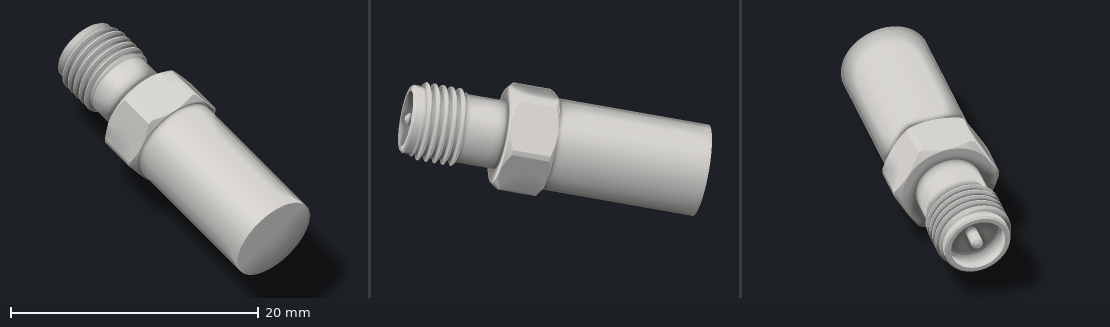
import cadquery as cq
import math

total_length = 24.65
rim_x = 0.07
thread_start_x = 0.85
thread_end_x = 4.68
hex_front_x = 7.88
hex_length = 4.0

neck_radius = 5.6 / 2
rim_radius = 5.27 / 2
thread_radius = 6.35 / 2
helix_length = 4.93
thread_root_width = 0.47
thread_crest_width = 0.1
thread_root_overlap = 0.07
envelope_clearance = 0.02
helix_start_x = 0.07
helix_turns = 7
thread_pitch = helix_length / helix_turns

socket_radius = 4.58 / 2
socket_floor_radius = 4.2 / 2
socket_depth = 1.87
floor_chamfer_length = 0.07

hex_across_flats = 7.93
hex_corner_radius = 8.92 / 2
hex_front_face_radius = 3.92
hex_rear_face_radius = 3.97
hex_front_chamfer = 0.5
hex_rear_chamfer = 0.37
barrel_radius = 7.5 / 2

pin_radius = 0.94 / 2
pin_tip_radius = 0.2
pin_tip_length = 0.22
shank_radius = 1.18 / 2
shank_length = 0.99

socket_floor_x = rim_x + socket_depth
hex_rear_x = hex_front_x + hex_length
shank_end_x = socket_floor_x + shank_length


def turned(profile):
    """Revolve a closed (x, radius) outline about the X axis."""
    return cq.Workplane("XY").polyline(profile).close().revolve(360, (0, 0, 0), (1, 0, 0))


def make_thread():
    """Right-handed helical ridge, tapered at 45 degrees at both ends."""
    inner_radius = neck_radius - thread_root_overlap
    half_root = thread_root_width / 2
    half_crest = thread_crest_width / 2
    flank_slope = (half_root - half_crest) / (thread_radius - neck_radius)
    half_base = half_root + flank_slope * thread_root_overlap
    helix = cq.Wire.makeHelix(thread_pitch, helix_length, neck_radius)
    ridge = (
        cq.Workplane("XZ")
        .polyline([
            (inner_radius, -half_base),
            (thread_radius, -half_crest),
            (thread_radius, half_crest),
            (inner_radius, half_base),
        ])
        .close()
        .sweep(cq.Workplane(obj=helix), isFrenet=True)
        .rotate((0, 0, 0), (0, 1, 0), 90)
        .translate((helix_start_x, 0, 0))
    )
    taper = thread_radius + envelope_clearance - neck_radius
    envelope = turned([
        (thread_start_x, socket_radius),
        (thread_start_x, neck_radius),
        (thread_start_x + taper, neck_radius + taper),
        (thread_end_x - taper, neck_radius + taper),
        (thread_end_x, neck_radius),
        (thread_end_x, socket_radius),
    ])
    return ridge.intersect(envelope)


def make_hexagon():
    """Hexagon with flats up and down, its corners rounded and chamfered."""
    across_corners = hex_across_flats / math.cos(math.pi / 6)
    prism = cq.Workplane("YZ", origin=(hex_front_x, 0, 0)).polygon(6, across_corners).extrude(hex_length)
    corner_limit = turned([
        (hex_front_x, 0),
        (hex_front_x, hex_front_face_radius),
        (hex_front_x + hex_front_chamfer, hex_corner_radius),
        (hex_rear_x - hex_rear_chamfer, hex_corner_radius),
        (hex_rear_x, hex_rear_face_radius),
        (hex_rear_x, 0),
    ])
    return prism.intersect(corner_limit)


def make_socket():
    """Front bore with a conical floor edge, continued by the hole for the pin shank."""
    return turned([
        (rim_x, 0),
        (rim_x, socket_radius),
        (socket_floor_x - floor_chamfer_length, socket_radius),
        (socket_floor_x, socket_floor_radius),
        (socket_floor_x, shank_radius),
        (shank_end_x, shank_radius),
        (shank_end_x, 0),
    ])


def make_housing():
    """Neck with thread, hexagon and barrel as one body."""
    rim_chamfer = neck_radius - rim_radius
    core = turned([
        (rim_x, 0),
        (rim_x, rim_radius),
        (rim_x + rim_chamfer, neck_radius),
        (hex_front_x, neck_radius),
        (hex_front_x, barrel_radius),
        (total_length, barrel_radius),
        (total_length, 0),
    ])
    return core.union(make_hexagon()).union(make_thread()).cut(make_socket())


def make_pin():
    """Contact pin with a conical tip; its wider shank ends flush with the socket floor."""
    return turned([
        (0, 0),
        (0, pin_tip_radius),
        (pin_tip_length, pin_radius),
        (socket_floor_x, pin_radius),
        (socket_floor_x, shank_radius),
        (shank_end_x, shank_radius),
        (shank_end_x, 0),
    ])


housing = make_housing()
pin = make_pin()

result = cq.Compound.makeCompound([housing.val(), pin.val()])